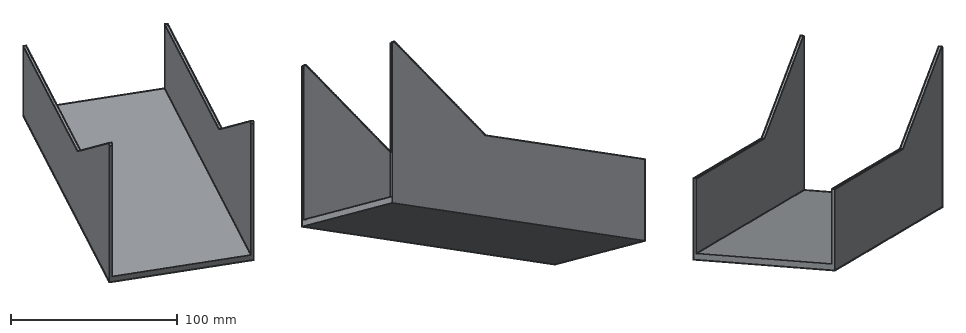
import cadquery as cq

length = 190.0
width = 90.0
height = 99.0

floor_thickness = 4.0
wall_thickness = 1.9

low_wall_height = 50.0
slope_start = 119.9
tip_length = 1.5
tip_drop = 1.1


def side_wall(y_start):
    """Low wall that rises along a slope to a tall, slightly clipped tip."""
    outline = [
        (0, 0),
        (length, 0),
        (length, height - tip_drop),
        (length - tip_length, height),
        (slope_start, low_wall_height),
        (0, low_wall_height),
    ]
    wall = cq.Workplane("XZ").polyline(outline).close().extrude(-wall_thickness)
    return wall.translate((0, y_start, 0))


floor = cq.Workplane("XY").box(length, width, floor_thickness, centered=False)

result = floor
for y_start in (0, width - wall_thickness):
    result = result.union(side_wall(y_start))